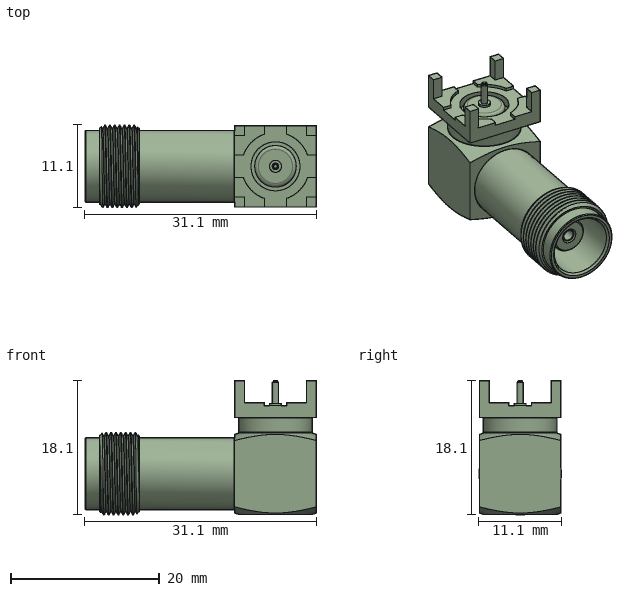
import cadquery as cq
import math


total_length = 31.1
total_height = 18.07
thread_diameter = 11.1
block_size = 10.98

block_half = block_size / 2
crown_angle = 20.0
crown_radius = 4.95

face_x = block_half - total_length
barrel_radius = 4.85
barrel_chamfer = 0.12
joint_chamfer = 0.1
bore_radius = 4.07
bore_depth = 8.3
bore_chamfer = 0.28

collar_x = -23.7
collar_length = 5.38
thread_radius = thread_diameter / 2
collar_end_radius = 5.07
thread_pitch = 0.65
thread_depth = 0.47
thread_crest = 0.1
thread_root = 0.05
thread_tolerance = 0.001
crest_x = -22.75

insulator_radius = 2.33
insulator_face_depth = 3.23
insulator_chamfer = 0.2
socket_mouth_radius = 1.03
socket_lead_in = 0.2
socket_radius = 0.7
socket_depth = 3.1

top_z = total_height - thread_radius
neck_radius = 4.98
plate_bottom_z = 7.55
plate_top_z = 9.15
pad_top_z = 9.55
leg_size = 1.35
slot_width = 3.02
pad_arc_radius = 4.57
well_radius = 3.3
well_depth = 1.2

button_radius = 2.8
button_fillet = 0.5
pin_collar_radius = 0.8
pin_collar_height = 0.3
pin_radius = 0.45
tip_radius = 0.35
tip_length = 0.28
tip_chamfer = 0.1


def x_cylinder(radius, start, length):
    """Cylinder on the cable axis, running toward +X."""
    return cq.Workplane("YZ").workplane(offset=start).circle(radius).extrude(length)


def z_cylinder(radius, bottom, top):
    """Cylinder on the mounting axis."""
    return cq.Workplane("XY").workplane(offset=bottom).circle(radius).extrude(top - bottom)


def z_block(width, bottom, top):
    """Square block centred on the mounting axis."""
    return cq.Workplane("XY").workplane(offset=bottom).rect(width, width).extrude(top - bottom)


def make_elbow():
    """Cube whose top and bottom are trimmed by shallow cones."""
    reach = block_size
    drop = (reach - crown_radius) * math.tan(math.radians(crown_angle))
    trim = (
        cq.Workplane("XZ")
        .moveTo(0, -block_half)
        .lineTo(crown_radius, -block_half)
        .lineTo(reach, -block_half + drop)
        .lineTo(reach, block_half - drop)
        .lineTo(crown_radius, block_half)
        .lineTo(0, block_half)
        .close()
        .revolve(360, (0, 0, 0), (0, 1, 0))
    )
    return z_block(block_size, -block_half, block_half).intersect(trim)


def make_barrel():
    barrel = x_cylinder(barrel_radius, face_x, -block_half - face_x)
    barrel = barrel.faces("<X").chamfer(barrel_chamfer)
    return barrel.faces(">X").chamfer(joint_chamfer)


def make_threaded_collar():
    """Collar with bevelled ends and a right-hand V thread cut along its whole length."""
    collar = x_cylinder(thread_radius, collar_x, collar_length)
    collar = collar.faces("<X or >X").chamfer(thread_radius - collar_end_radius)

    turns_before = math.ceil((crest_x - collar_x) / thread_pitch) + 0.5
    groove_start = crest_x - turns_before * thread_pitch
    groove_length = collar_length + 3 * thread_pitch

    root_radius = thread_radius - thread_depth
    outer_radius = thread_radius + thread_crest
    half_mouth = (thread_pitch - thread_crest) / 2
    half_root = thread_root / 2
    path = cq.Wire.makeHelix(
        thread_pitch, groove_length, root_radius, cq.Vector(groove_start, 0, 0), cq.Vector(1, 0, 0)
    )
    start = path.startPoint()
    radial = cq.Vector(0, start.y, start.z).normalized()
    section = cq.Plane(origin=(groove_start, 0, 0), xDir=radial, normal=radial.cross(cq.Vector(1, 0, 0)))
    groove = (
        cq.Workplane(section)
        .moveTo(root_radius, -half_root)
        .lineTo(thread_radius, -half_mouth)
        .lineTo(outer_radius, -half_mouth)
        .lineTo(outer_radius, half_mouth)
        .lineTo(thread_radius, half_mouth)
        .lineTo(root_radius, half_root)
        .close()
        .sweep(cq.Workplane(path), isFrenet=True)
    )
    angle = 90 - math.degrees(math.atan2(start.z, start.y))
    groove = groove.rotate((0, 0, 0), (1, 0, 0), angle)
    return collar.cut(groove, tol=thread_tolerance)


def cut_bore(body):
    """Open the barrel, leaving the insulator with its socket standing in the bore."""
    insulator_x = face_x + insulator_face_depth
    mouth = (
        cq.Workplane("YZ")
        .workplane(offset=face_x)
        .circle(bore_radius + bore_chamfer)
        .workplane(offset=bore_chamfer)
        .circle(bore_radius)
        .loft(ruled=True)
    )
    insulator = x_cylinder(insulator_radius, insulator_x, bore_depth - insulator_face_depth)
    insulator = insulator.faces("<X").chamfer(insulator_chamfer)
    lead_in = (
        cq.Workplane("YZ")
        .workplane(offset=insulator_x)
        .circle(socket_mouth_radius)
        .workplane(offset=socket_lead_in)
        .circle(socket_mouth_radius - socket_lead_in)
        .loft(ruled=True)
    )
    body = body.cut(x_cylinder(bore_radius, face_x, bore_depth)).cut(mouth)
    body = body.union(insulator)
    return body.cut(lead_in).cut(x_cylinder(socket_radius, insulator_x, socket_depth))


def make_neck():
    neck = z_cylinder(neck_radius, block_half, plate_bottom_z)
    return neck.faces("<Z or >Z").chamfer(joint_chamfer)


def make_mount():
    """Square plate with four corner pads, four legs and a round well."""
    mount = z_block(block_size, plate_bottom_z, pad_top_z)
    slot_depth = pad_top_z - plate_top_z
    slots = (
        cq.Workplane("XY")
        .workplane(offset=plate_top_z)
        .rect(block_size, slot_width)
        .extrude(slot_depth)
        .union(cq.Workplane("XY").workplane(offset=plate_top_z).rect(slot_width, block_size).extrude(slot_depth))
    )
    mount = mount.cut(slots).cut(z_cylinder(pad_arc_radius, plate_top_z, pad_top_z))
    legs = (
        cq.Workplane("XY")
        .workplane(offset=plate_bottom_z)
        .rect(block_size - leg_size, block_size - leg_size, forConstruction=True)
        .vertices()
        .rect(leg_size, leg_size)
        .extrude(top_z - plate_bottom_z)
    )
    return mount.union(legs).cut(z_cylinder(well_radius, plate_top_z - well_depth, plate_top_z))


def make_pin():
    """Rounded button in the well with the stepped centre pin standing on it."""
    collar_top_z = plate_top_z + pin_collar_height
    shoulder_z = top_z - tip_length
    button = z_cylinder(button_radius, plate_bottom_z, plate_top_z)
    button = button.faces(">Z").edges().fillet(button_fillet)
    tip = z_cylinder(tip_radius, shoulder_z, top_z).faces(">Z").chamfer(tip_chamfer)
    return (
        button.union(z_cylinder(pin_collar_radius, plate_top_z, collar_top_z))
        .union(z_cylinder(pin_radius, collar_top_z, shoulder_z))
        .union(tip)
    )


cable_end = cut_bore(make_barrel().union(make_threaded_collar()))
result = make_elbow().union(cable_end).union(make_neck()).union(make_mount()).union(make_pin())